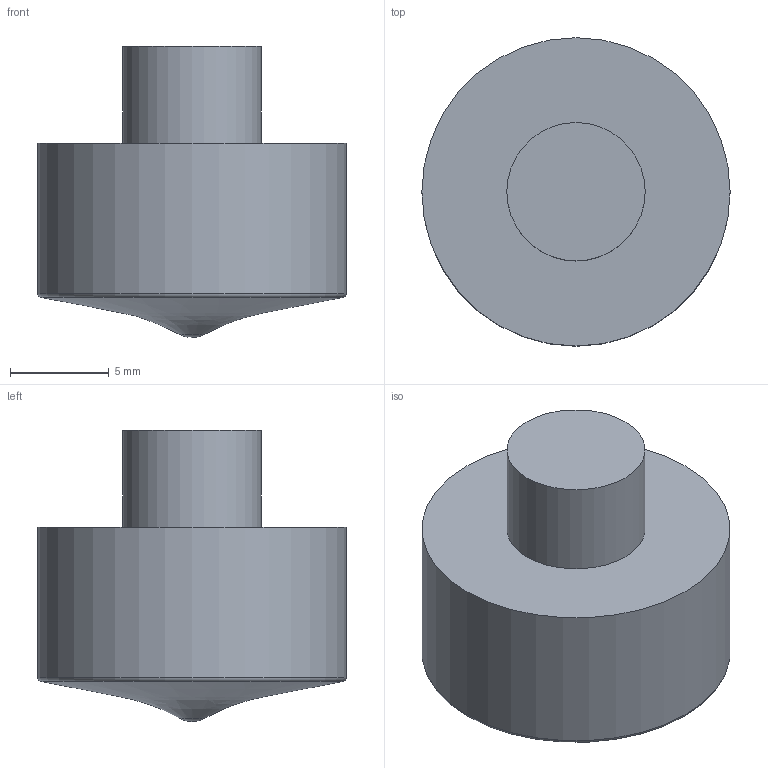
import cadquery as cq
import math

total_height = 14.73
pin_diameter = 7.0
pin_height = 4.9
body_diameter = 15.6
body_side_height = 7.62
edge_radius = 0.18
cone_angle = 11.0
blend_radius = 10.0
tip_radius = 1.35

pin_radius = pin_diameter / 2
body_radius = body_diameter / 2
shoulder_z = total_height - pin_height
side_bottom_z = shoulder_z - body_side_height


def offset(point, direction, distance):
    """Point reached by moving a distance along a unit direction in the (radius, Z) plane."""
    return (point[0] + distance * direction[0], point[1] + distance * direction[1])


def unit_between(start, end):
    """Unit direction from one point towards another."""
    length = math.dist(start, end)
    return ((end[0] - start[0]) / length, (end[1] - start[1]) / length)


def bisector(first, second):
    """Unit direction halfway between two unit directions."""
    return unit_between((0, 0), (first[0] + second[0], first[1] + second[1]))


slope = math.radians(cone_angle)
cone_outward = (math.cos(slope), math.sin(slope))
cone_normal = (math.sin(slope), -math.cos(slope))
radial = (1, 0)
down = (0, -1)

edge_center = (body_radius - edge_radius, side_bottom_z)
edge_middle = offset(edge_center, bisector(radial, cone_normal), edge_radius)
cone_outer = offset(edge_center, cone_normal, edge_radius)

tip_center = (0, tip_radius)
tip_depth = ((tip_center[0] - cone_outer[0]) * cone_normal[0]
             + (tip_center[1] - cone_outer[1]) * cone_normal[1])
cone_foot = offset(tip_center, cone_normal, -tip_depth)
blend_run = math.sqrt((blend_radius + tip_radius) ** 2 - (blend_radius - tip_depth) ** 2)
cone_inner = offset(cone_foot, cone_outward, blend_run)
blend_center = offset(cone_inner, cone_normal, blend_radius)
tip_to_blend = unit_between(tip_center, blend_center)
blend_to_tip = unit_between(blend_center, tip_center)
blend_to_cone = unit_between(blend_center, cone_inner)
blend_middle = offset(blend_center, bisector(blend_to_tip, blend_to_cone), blend_radius)
tip_edge = offset(tip_center, tip_to_blend, tip_radius)
tip_middle = offset(tip_center, bisector(tip_to_blend, down), tip_radius)


def half_profile():
    """Closed outline from the axis outwards, in the (radius, Z) plane."""
    return (
        cq.Workplane("XZ")
        .moveTo(0, total_height)
        .lineTo(pin_radius, total_height)
        .lineTo(pin_radius, shoulder_z)
        .lineTo(body_radius, shoulder_z)
        .lineTo(body_radius, side_bottom_z)
        .threePointArc(edge_middle, cone_outer)
        .lineTo(*cone_inner)
        .threePointArc(blend_middle, tip_edge)
        .threePointArc(tip_middle, (0, 0))
        .close()
    )


result = half_profile().revolve(360, (0, 0, 0), (0, 1, 0))